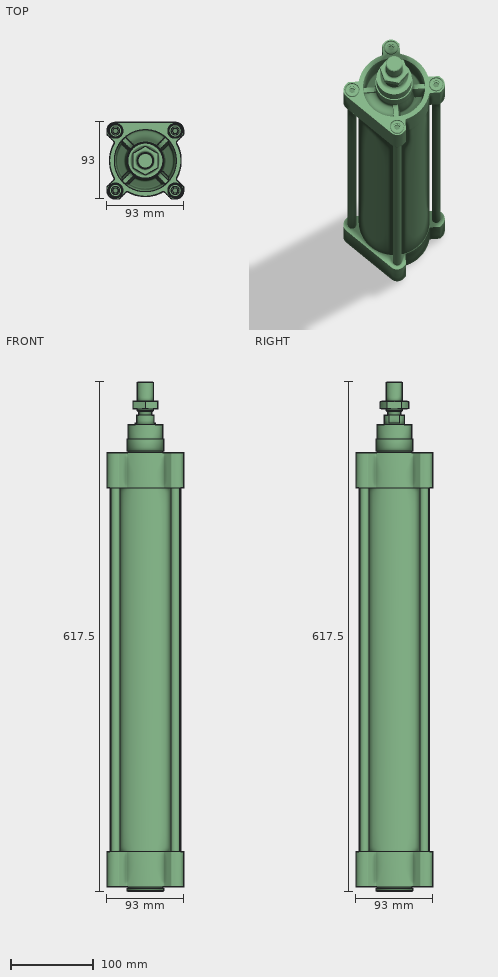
import cadquery as cq
import math

total_length = 617.5
rear_boss_height = 5.5
cover_thickness = 42.5
front_face_z = 532.0
boss_step_z = 548.5
boss_top_z = 566.0

rear_face_z = rear_boss_height
rear_cover_top_z = rear_face_z + cover_thickness
front_cover_base_z = front_face_z - cover_thickness

cover_width = 93.0
body_diameter = 87.0
tube_diameter = 86.0
lug_width = 21.0
half_width = cover_width / 2
lug_radius = lug_width / 2
tie_offset = half_width - lug_radius
lug_fillet = 2.0

tie_diameter = 10.5
screw_recess_diameter = 18.0
screw_head_diameter = 16.0
screw_head_chamfer = 0.5
screw_recess_depth = 2.5
socket_rim_diameter = 10.0
socket_across_flats = 6.0
socket_rim_depth = 1.0
socket_depth = 4.0

collar_diameter = 45.0
neck_diameter = 42.5
undercut_width = 2.0
collar_chamfer = 1.0

pocket_outer_radius = 37.5
pocket_inner_radius = neck_diameter / 2
pocket_depth = 25.0
shallow_pocket_depth = 6.0
pocket_draft = 8.0
rib_width = 5.0
pocket_fillet = 2.0
rib_drop = 3.0

rod_diameter = 25.0
thread_diameter = 20.0
groove_diameter = 16.0
rod_base_z = front_cover_base_z
flat_base_z = 567.5
flat_spacing = 21.0
shoulder_z = 577.5
thread_base_z = 582.0
thread_chamfer = 0.9

nut_base_z = 585.0
nut_thickness = 9.0
nut_across_flats = 30.0
nut_chamfer_angle = 15.0


def disc(diameter, z_low, z_high):
    """Cylinder on the Z axis between two heights."""
    return cq.Workplane("XY").workplane(offset=z_low).circle(diameter / 2).extrude(z_high - z_low)


def corner_points():
    """Centres of the four tie rods."""
    return [(sx * tie_offset, sy * tie_offset) for sx in (-1, 1) for sy in (-1, 1)]


def lug(angle):
    """Diagonal corner lug, one cover thick, with a rounded tip."""
    flat_end = half_width - lug_width / math.sqrt(2)
    arc_mid = tie_offset + lug_radius / math.sqrt(2)
    inner = lug_radius / math.sqrt(2)
    return (
        cq.Workplane("XY")
        .moveTo(inner, -inner)
        .lineTo(half_width, flat_end)
        .lineTo(half_width, tie_offset)
        .threePointArc((arc_mid, arc_mid), (tie_offset, half_width))
        .lineTo(flat_end, half_width)
        .lineTo(-inner, inner)
        .close()
        .extrude(cover_thickness)
        .rotate((0, 0, 0), (0, 0, 1), angle)
    )


def is_lug_corner(edge):
    """True for the sharp edges of the lug flanks, not for the smooth seams of the lug tips."""
    center = edge.Center()
    return min(abs(center.x), abs(center.y)) < tie_offset - lug_fillet


def cover_blank(base_z):
    """Round cover with four lugs and a straight web along the +Y side."""
    blank = disc(body_diameter, 0, cover_thickness)
    for angle in (0, 90, 180, 270):
        blank = blank.union(lug(angle))
    blank = blank.edges("|Z").filter(is_lug_corner).fillet(lug_fillet)
    web = cq.Workplane("XY").rect(2 * tie_offset, half_width).extrude(cover_thickness)
    blank = blank.union(web.translate((0, half_width / 2, 0)))
    return blank.translate((0, 0, base_z))


def pocket_ring(depth):
    """Ring sunk into the front face, narrowing with depth by the wall draft."""
    shrink = depth * math.tan(math.radians(pocket_draft))
    floor_z = front_face_z - depth
    return (
        cq.Workplane("XZ")
        .moveTo(pocket_inner_radius, front_face_z)
        .lineTo(pocket_outer_radius, front_face_z)
        .lineTo(pocket_outer_radius - shrink, floor_z)
        .lineTo(pocket_inner_radius + shrink, floor_z)
        .close()
        .revolve(360, (0, 0), (0, 1))
    )


def pocket(angle, depth):
    """Quarter of the ring facing the given angle, bounded by the diagonal ribs."""
    quadrant = (
        cq.Workplane("XY")
        .workplane(offset=front_face_z)
        .rect(cover_width, cover_width, centered=False)
        .extrude(-depth, taper=pocket_draft)
        .rotate((0, 0, 0), (0, 0, 1), -45)
        .translate((rib_width / math.sqrt(2), 0, 0))
        .rotate((0, 0, 0), (0, 0, 1), angle)
    )
    rounded_ring = pocket_ring(depth).faces("<Z").edges().fillet(pocket_fillet)
    return rounded_ring.intersect(quadrant)


def make_front_boss():
    """Bearing boss with a locating collar, undercut where it meets the cover face."""
    undercut_top_z = front_face_z + undercut_width
    collar = disc(collar_diameter, undercut_top_z, boss_step_z)
    return disc(neck_diameter, front_cover_base_z, boss_top_z).union(collar)


def make_rear_boss():
    """Short chamfered collar, undercut where it meets the cover face."""
    collar = disc(collar_diameter, 0, rear_boss_height - undercut_width).faces("<Z").chamfer(collar_chamfer)
    return disc(neck_diameter, collar_chamfer, rear_cover_top_z).union(collar)


def make_screw_recesses():
    """Gaps round the chamfered screw heads, and the counterbored hexagon sockets in them."""
    recess_base_z = front_face_z - screw_recess_depth
    head = disc(screw_head_diameter, recess_base_z, front_face_z).faces(">Z").chamfer(screw_head_chamfer)
    gap = disc(screw_recess_diameter, recess_base_z, front_face_z).cut(head)
    socket_corner_diameter = socket_across_flats / math.cos(math.radians(30))
    socket = (
        disc(socket_rim_diameter, front_face_z - socket_rim_depth, front_face_z)
        .faces("<Z")
        .workplane()
        .polygon(6, socket_corner_diameter)
        .extrude(socket_depth - socket_rim_depth)
    )
    return [shape.translate((x, y, 0)) for shape in (gap, socket) for x, y in corner_points()]


def make_housing():
    """Tube, both covers, tie rods and bosses, with a bore for the rod."""
    body = disc(tube_diameter, rear_face_z, front_cover_base_z)
    body = body.union(cover_blank(rear_face_z)).union(cover_blank(front_cover_base_z))
    body = body.cut(pocket_ring(rib_drop))
    for angle in (0, 180, 270):
        body = body.cut(pocket(angle, pocket_depth))
    body = body.cut(pocket(90, shallow_pocket_depth))
    body = body.union(make_front_boss()).union(make_rear_boss())
    tie_rods = (
        cq.Workplane("XY")
        .workplane(offset=rear_face_z)
        .pushPoints(corner_points())
        .circle(tie_diameter / 2)
        .extrude(front_cover_base_z - rear_face_z)
    )
    body = body.union(tie_rods)
    for recess in make_screw_recesses():
        body = body.cut(recess)
    return body.cut(disc(rod_diameter, rod_base_z, boss_top_z))


def make_piston_rod():
    """Rod with two wrench flats facing X, a relief groove and a threaded end."""
    wrench_flats = (
        cq.Workplane("XY")
        .workplane(offset=flat_base_z)
        .rect(flat_spacing, rod_diameter)
        .extrude(shoulder_z - flat_base_z)
    )
    rod = disc(rod_diameter, rod_base_z, flat_base_z)
    rod = rod.union(disc(rod_diameter, flat_base_z, shoulder_z).intersect(wrench_flats))
    rod = rod.union(disc(groove_diameter, shoulder_z, thread_base_z))
    thread = disc(thread_diameter, thread_base_z, total_length).faces("<Z or >Z").chamfer(thread_chamfer)
    return rod.union(thread)


def make_lock_nut():
    """Hexagon nut with corners on the Y axis and both rims chamfered."""
    corner_diameter = nut_across_flats / math.cos(math.radians(30))
    corner_height = (corner_diameter - nut_across_flats) / 2 * math.tan(math.radians(nut_chamfer_angle))
    hexagon = (
        cq.Workplane("XY")
        .workplane(offset=nut_base_z)
        .polygon(6, corner_diameter)
        .extrude(nut_thickness)
        .rotate((0, 0, 0), (0, 0, 1), 90)
    )
    nut_top_z = nut_base_z + nut_thickness
    rounding = (
        disc(corner_diameter, nut_base_z, nut_top_z)
        .faces("<Z or >Z")
        .chamfer(corner_height, (corner_diameter - nut_across_flats) / 2)
    )
    return hexagon.intersect(rounding).cut(disc(thread_diameter, nut_base_z, nut_top_z))


housing = make_housing()
piston_rod = make_piston_rod()
lock_nut = make_lock_nut()

result = cq.Compound.makeCompound([housing.val(), piston_rod.val(), lock_nut.val()])